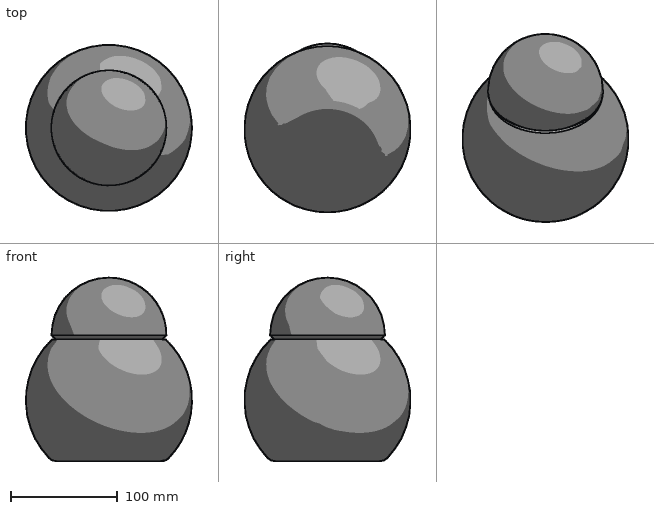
import cadquery as cq
import math

overall_height = 172.27
body_sphere_radius = 78.0
lid_radius = 54.0
lid_bevel = 4.0
base_fillet_radius = 10.0
body_centre_height = 57.2

lid_rim_height = overall_height - lid_radius
body_height = lid_rim_height - lid_bevel
lid_seat_radius = lid_radius - lid_bevel
body_mouth_radius = math.sqrt(body_sphere_radius**2 - (body_height - body_centre_height) ** 2)
base_radius = math.sqrt(body_sphere_radius**2 - body_centre_height**2)


def make_body():
    """Sphere cut flat at the top and bottom, with a rounded base edge."""
    profile = (
        cq.Workplane("XZ")
        .lineTo(base_radius, 0)
        .threePointArc((body_sphere_radius, body_centre_height), (body_mouth_radius, body_height))
        .lineTo(0, body_height)
        .close()
    )
    body = profile.revolve(360, (0, 0, 0), (0, 1, 0))
    return body.faces("<Z").edges().fillet(base_fillet_radius)


def make_lid():
    """Dome whose rim is bevelled down to a flat seat on the body."""
    dome_mid = lid_radius * math.sqrt(0.5)
    profile = (
        cq.Workplane("XZ")
        .moveTo(0, body_height)
        .lineTo(lid_seat_radius, body_height)
        .lineTo(lid_radius, lid_rim_height)
        .threePointArc((dome_mid, lid_rim_height + dome_mid), (0, overall_height))
        .close()
    )
    return profile.revolve(360, (0, 0, 0), (0, 1, 0))


body = make_body()
lid = make_lid()

result = cq.Compound.makeCompound([body.val(), lid.val()])